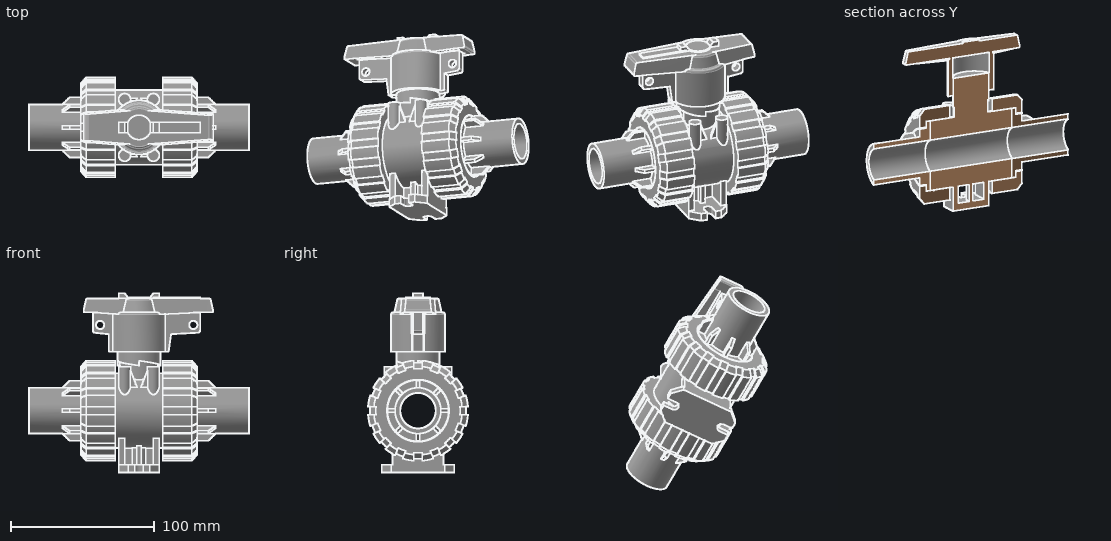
import cadquery as cq


total_length = 153.5
total_height = 124.93
bore_radius = 12.3
pipe_radius = 16.0
pipe_rib_count = 8
pipe_rib_thickness = 2.5
pipe_rib_radius = 21.0
pipe_rib_overhang = 13.0
pipe_rib_bevel = 5.1

cut_margin = 1.0
edge_search_margin = 0.1

nut_inner_x = 16.4
nut_outer_x = 40.45
nut_radius = 35.0
nut_groove_radius = 33.55
nut_groove_count = 16
nut_groove_width = 5.6
nut_bevel_length = 3.7
nut_bevel_drop = 4.2
nut_mouth_radius = 21.7
nut_lip_thickness = 5.0
end_flange_thickness = 3.0
collar_radius = 21.35

body_radius = 26.1
body_half_length = nut_outer_x - nut_lip_thickness - end_flange_thickness
neck_radius = 14.7
neck_half_width = 13.3
stop_ring_radius = 15.0
neck_top_z = 53.9
ramp_count = 4
ramp_high_z = 34.8
ramp_low_z = 31.4

pillar_radius = 4.15
pillar_x = 10.0
pillar_y = 19.45
pillar_top_z = 30.7
pillar_base_z = 8.0
web_thickness = 1.7
web_inner_x = 1.2
web_top_z = 27.9
web_bottom_z = 16.0

foot_bottom_z = -43.1
foot_thickness = 5.55
foot_half_length = 14.2
foot_half_width = 25.3
foot_bevel = 6.7
foot_slot_width = 6.1
foot_slot_center_y = foot_half_width - foot_bevel
foot_plate_thickness = 4.2
foot_plate_half_width = 17.85
foot_column_radius = 5.2
foot_rib_thickness = 3.3
foot_rib_half_width = 9.3
foot_wall_thickness = 4.0

skirt_radius = 18.85
skirt_bottom_z = 40.95
skirt_slot_width = 9.0
skirt_roof_z = 68.45
lever_bottom_z = 67.0
lever_top_z = 78.2
hub_base_radius = 16.5
hub_top_radius = 14.35
hub_edge_round = 1.4
hub_base_round = 0.9
lever_left_x = -38.6
lever_right_x = 51.6
lever_left_top_x = -36.8
lever_right_top_x = 49.8
lever_end_flat = 0.7
lever_hub_half_length = 5.0
lever_left_lower_half = 10.3
lever_hub_lower_half = 12.9
lever_right_lower_half = 9.5
lever_side_draft = 1.2
lever_sag_left_x = -11.0
lever_rise_left_x = -33.0
lever_sag_right_x = 14.0
lever_rise_right_x = 43.5
lever_end_round = 1.4
lever_end_lower_round = 0.9
lever_hollow_width = 10.5
cap_radius = 8.55
cap_top_z = 79.1
strip_end_x = 42.7
strip_width = 7.4
tab_top_z = total_height + foot_bottom_z
tab_width = 7.2
tab_outer_x = 14.2
tab_inner_x = 9.9
tab_foot_x = 7.8
fin_thickness = 7.1
fin_left_x = -32.2
fin_right_x = strip_end_x
fin_wing_z = 54.3
fin_root_z = 53.2
fin_stem_left_x = -21.2
fin_stem_right_x = 22.4
fin_stem_taper = 1.7
fin_hole_radius = 2.8
fin_hole_z = 59.7
fin_hole_left_x = -27.1
fin_hole_right_x = 37.8
fin_wing_round = 1.9
fin_lower_round = 1.0


def x_cylinder(radius, x_start, x_end):
    return cq.Workplane("YZ", origin=(x_start, 0, 0)).circle(radius).extrude(x_end - x_start)


def z_cylinder(radius, z_start, z_end, x=0, y=0):
    return cq.Workplane("XY", origin=(x, y, z_start)).circle(radius).extrude(z_end - z_start)


def block(x_range, y_range, z_range):
    size = [high - low for low, high in (x_range, y_range, z_range)]
    return cq.Workplane("XY", origin=(x_range[0], y_range[0], z_range[0])).box(*size, centered=False)


def upright_profile(points, thickness):
    """Plate with an outline in X and Z, centred on Y = 0."""
    return cq.Workplane("XZ").polyline(points).close().extrude(thickness / 2, both=True)


def other_end(solid):
    return solid.rotate((0, 0, 0), (0, 0, 1), 180)


def make_pipe_end():
    pipe = x_cylinder(pipe_radius, -total_length / 2, -body_half_length)
    flange_outer_x = body_half_length + end_flange_thickness
    flange = x_cylinder(body_radius, -flange_outer_x, -body_half_length)
    collar = x_cylinder(collar_radius, -nut_outer_x, -body_half_length)
    end = pipe.union(flange).union(collar)

    tip_x = -nut_outer_x - pipe_rib_overhang
    rib_outline = [
        (tip_x, bore_radius),
        (tip_x, pipe_radius),
        (tip_x + pipe_rib_bevel, pipe_rib_radius),
        (-body_half_length, pipe_rib_radius),
        (-body_half_length, bore_radius),
    ]
    rib = upright_profile(rib_outline, pipe_rib_thickness)
    for i in range(pipe_rib_count):
        end = end.union(rib.rotate((0, 0, 0), (1, 0, 0), i * 360 / pipe_rib_count))
    return end.cut(x_cylinder(bore_radius, -total_length / 2, 0))


def make_nut_blank(radius):
    outline = [
        (-nut_inner_x, 0),
        (-nut_inner_x, radius),
        (-nut_outer_x + nut_bevel_length, radius),
        (-nut_outer_x, radius - nut_bevel_drop),
        (-nut_outer_x, 0),
    ]
    return cq.Workplane("XZ").polyline(outline).close().revolve(360, (0, 0, 0), (1, 0, 0))


def make_nut():
    grips = make_nut_blank(nut_radius)
    groove = block(
        (-nut_outer_x, -nut_inner_x),
        (-nut_groove_width / 2, nut_groove_width / 2),
        (body_radius, nut_radius + cut_margin),
    )
    for i in range(nut_groove_count):
        grips = grips.cut(groove.rotate((0, 0, 0), (1, 0, 0), i * 360 / nut_groove_count))
    nut = make_nut_blank(nut_groove_radius).union(grips)
    nut = nut.cut(x_cylinder(body_radius, -nut_outer_x + nut_lip_thickness, 0))
    return nut.cut(x_cylinder(nut_mouth_radius, -nut_outer_x, 0))


def make_stop_ring():
    """Collar whose lower edge falls in four helical quarter ramps, with a step between them."""
    ramp_drop = ramp_high_z - ramp_low_z
    ring = z_cylinder(stop_ring_radius, ramp_low_z, neck_top_z)
    ramp_path = cq.Wire.makeHelix(ramp_count * ramp_drop, ramp_drop, stop_ring_radius, lefthand=True)
    section = cq.Workplane("XZ").polyline([
        (neck_half_width - cut_margin, -ramp_drop),
        (stop_ring_radius + cut_margin, -ramp_drop),
        (stop_ring_radius + cut_margin, 0),
        (neck_half_width - cut_margin, 0),
    ]).close()
    ramp = section.sweep(cq.Workplane(ramp_path), isFrenet=True).translate((0, 0, ramp_low_z))
    for i in range(ramp_count):
        ring = ring.cut(ramp.rotate((0, 0, 0), (0, 0, 1), i * 360 / ramp_count))
    return ring


def make_neck():
    """Stem neck with a flat on each X side."""
    flats = block(
        (-neck_half_width, neck_half_width),
        (-neck_radius, neck_radius),
        (0, neck_top_z),
    )
    return z_cylinder(neck_radius, 0, neck_top_z).intersect(flats)


def make_pillar_pair(side):
    """Two posts on one side of the neck, each with a triangular web facing the other."""
    web_y = side * pillar_y
    pair = None
    for direction in (-1, 1):
        x = direction * pillar_x
        web_outline = [
            (x, web_bottom_z),
            (direction * web_inner_x, web_bottom_z),
            (direction * (pillar_x - pillar_radius), web_top_z),
            (x, web_top_z),
        ]
        post = z_cylinder(pillar_radius, pillar_base_z, pillar_top_z, x, web_y)
        post = post.union(upright_profile(web_outline, web_thickness).translate((0, web_y, 0)))
        pair = post if pair is None else pair.union(post)
    return pair


def make_foot():
    foot_top_z = foot_bottom_z + foot_thickness
    foot = (
        cq.Workplane("XY", origin=(0, 0, foot_bottom_z))
        .rect(2 * foot_half_length, 2 * foot_half_width)
        .extrude(foot_thickness)
        .edges("|Z")
        .chamfer(foot_bevel)
    )
    for side in (-1, 1):
        y_ends = sorted((side * foot_slot_center_y, side * (foot_half_width + cut_margin)))
        slot = block((-foot_slot_width / 2, foot_slot_width / 2), y_ends, (foot_bottom_z, foot_top_z))
        slot_end = z_cylinder(foot_slot_width / 2, foot_bottom_z, foot_top_z, 0, side * foot_slot_center_y)
        foot = foot.cut(slot).cut(slot_end)

    height = (foot_top_z, -bore_radius)
    plate_inner_x = foot_half_length - foot_plate_thickness
    plate_y = (-foot_plate_half_width, foot_plate_half_width)
    for x_range in ((-foot_half_length, -plate_inner_x), (plate_inner_x, foot_half_length)):
        foot = foot.union(block(x_range, plate_y, height))
    wall = block(
        (-plate_inner_x, plate_inner_x),
        (-foot_wall_thickness / 2, foot_wall_thickness / 2),
        height,
    )
    rib = block(
        (-foot_rib_thickness / 2, foot_rib_thickness / 2),
        (-foot_rib_half_width, foot_rib_half_width),
        height,
    )
    return foot.union(wall).union(rib).union(z_cylinder(foot_column_radius, *height))


def make_body():
    body = x_cylinder(body_radius, -body_half_length, body_half_length)
    body = body.union(make_neck()).union(make_stop_ring())
    for side in (-1, 1):
        body = body.union(make_pillar_pair(side))
    body = body.union(make_foot())
    return body.cut(x_cylinder(bore_radius, -body_half_length, body_half_length))


def make_lever_outline(left_x, left_half, hub_half, right_x, right_half):
    back = [
        (left_x, left_half),
        (-lever_hub_half_length, hub_half),
        (lever_hub_half_length, hub_half),
        (right_x, right_half),
    ]
    return back + [(x, -y) for x, y in reversed(back)]


def make_lever():
    """Drafted bar, widest at the hub, with an underside that rises to both ends."""
    lower_outline = make_lever_outline(
        lever_left_x - lever_end_flat, lever_left_lower_half, lever_hub_lower_half,
        lever_right_x + lever_end_flat, lever_right_lower_half,
    )
    upper_outline = make_lever_outline(
        lever_left_top_x, lever_left_lower_half - lever_side_draft,
        lever_hub_lower_half - lever_side_draft,
        lever_right_top_x, lever_right_lower_half - lever_side_draft,
    )
    lever = (
        cq.Workplane("XY", origin=(0, 0, lever_bottom_z))
        .polyline(lower_outline)
        .close()
        .workplane(offset=lever_top_z - lever_bottom_z)
        .polyline(upper_outline)
        .close()
        .loft(ruled=True)
    )
    lever = lever.faces(">Z").edges("|Y").fillet(lever_end_round)
    slopes = (
        (lever_sag_left_x, lever_rise_left_x, lower_outline[0][0]),
        (lever_sag_right_x, lever_rise_right_x, lower_outline[3][0]),
    )
    for hub_x, flat_x, end_x in slopes:
        underside = [
            (hub_x, lever_bottom_z),
            (flat_x, skirt_roof_z),
            (end_x, skirt_roof_z),
            (end_x, lever_bottom_z),
        ]
        lever = lever.cut(upright_profile(underside, 2 * skirt_radius))
    full_width = (-skirt_radius, skirt_radius)
    lever = lever.intersect(block((lever_left_x, lever_right_x), full_width, (lever_bottom_z, lever_top_z)))
    for end in ("<X", ">X"):
        lever = lever.faces(end).edges("<Z").fillet(lever_end_lower_round)
    hollow_y = (-lever_hollow_width / 2, lever_hollow_width / 2)
    return lever.cut(block((lever_left_x, lever_right_x), hollow_y, (lever_bottom_z, skirt_roof_z)))


def make_hub():
    """Round skirt with a stepped shoulder and a tapered crown."""
    crown_outline = [
        (0, skirt_bottom_z),
        (skirt_radius, skirt_bottom_z),
        (skirt_radius, skirt_roof_z),
        (hub_base_radius, skirt_roof_z),
        (hub_top_radius, lever_top_z),
        (0, lever_top_z),
    ]
    hub = cq.Workplane("XZ").polyline(crown_outline).close().revolve(360, (0, 0, 0), (0, 1, 0))
    hub = hub.faces(">Z").edges().fillet(hub_edge_round)
    margin = edge_search_margin
    for radius, round_radius in ((hub_base_radius, hub_base_round), (skirt_radius, hub_edge_round)):
        rim = cq.selectors.BoxSelector(
            (-radius - margin, -radius - margin, skirt_roof_z - margin),
            (radius + margin, radius + margin, skirt_roof_z + margin),
            boundingbox=True,
        )
        hub = hub.edges(rim).fillet(round_radius)
    return hub


def make_fin():
    fin_outline = [
        (fin_left_x, skirt_roof_z),
        (fin_left_x, fin_wing_z),
        (fin_stem_left_x, fin_root_z),
        (fin_stem_left_x, skirt_bottom_z),
        (fin_stem_right_x - fin_stem_taper, skirt_bottom_z),
        (fin_stem_right_x, fin_root_z),
        (fin_right_x, fin_wing_z),
        (fin_right_x, skirt_roof_z),
    ]
    fin = upright_profile(fin_outline, fin_thickness)
    fin = fin.edges("|Y").edges("<X or >X").edges("not >Z").fillet(fin_wing_round)
    fin = fin.edges("|Y and <Z").fillet(fin_lower_round)
    for x in (fin_hole_left_x, fin_hole_right_x):
        hole = cq.Workplane("XZ", origin=(x, 0, fin_hole_z)).circle(fin_hole_radius)
        fin = fin.cut(hole.extrude(fin_thickness, both=True))
    return fin


def make_handle():
    handle = make_hub().union(make_lever())
    handle = handle.cut(z_cylinder(stop_ring_radius, skirt_bottom_z, skirt_roof_z))
    slot_y = (-skirt_slot_width / 2, skirt_slot_width / 2)
    handle = handle.cut(block((-total_length / 2, total_length / 2), slot_y, (skirt_bottom_z, skirt_roof_z)))
    handle = handle.union(make_fin().cut(z_cylinder(stop_ring_radius, skirt_bottom_z, neck_top_z)))

    handle = handle.union(z_cylinder(cap_radius, lever_top_z, cap_top_z))
    strip_y = (-strip_width / 2, strip_width / 2)
    handle = handle.union(block((tab_inner_x, strip_end_x), strip_y, (lever_top_z, cap_top_z)))
    for direction in (-1, 1):
        tab_outline = [
            (direction * tab_outer_x, lever_top_z),
            (direction * tab_outer_x, tab_top_z),
            (direction * tab_inner_x, tab_top_z),
            (direction * tab_foot_x, cap_top_z),
            (direction * tab_foot_x, lever_top_z),
        ]
        handle = handle.union(upright_profile(tab_outline, tab_width))
    return handle


body = make_body()
handle = make_handle()
pipe_end = make_pipe_end()
nut = make_nut()
pipe_ends = [pipe_end, other_end(pipe_end)]
nuts = [nut, other_end(nut)]

result = cq.Compound.makeCompound(
    [part.val() for part in [body, handle] + pipe_ends + nuts]
)